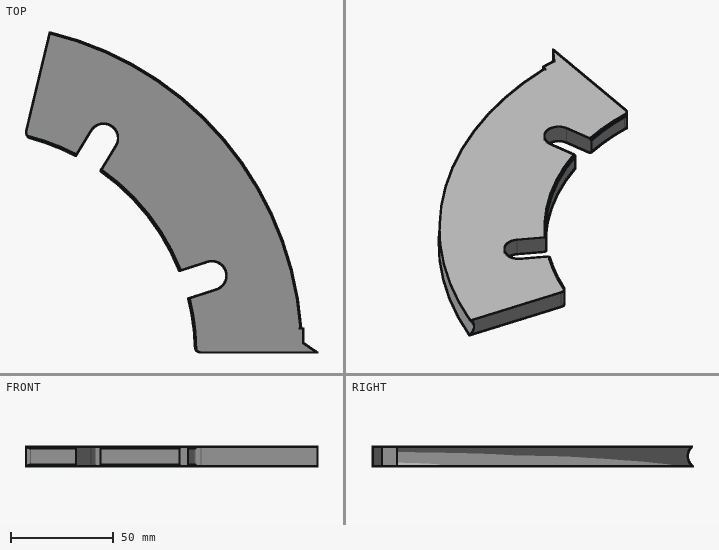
import cadquery as cq
import math

thickness = 9.5
height_y = 155.5
sector_angle = 76.5
outer_radius = height_y / math.sin(math.radians(sector_angle))
inner_radius = 107.8
corner_radius = 3.1
inner_chamfer = 0.8

top_edge_inset = 0.5
groove_depth = 2.5

tip_x = 167.4
tab_x = 160.5
tab_length = 11.8
tip_length = 4.7

slot_width = 14.0
slot_end_radius = 122.0
slot_spacing = 40.8
slot_angles = [sector_angle / 2 + side * slot_spacing / 2 for side in (-1, 1)]


def make_sector():
    """Revolve the radial section, with its inner chamfers and outer groove, about Z."""
    section = (
        cq.Workplane("XZ")
        .moveTo(inner_radius + inner_chamfer, 0)
        .lineTo(outer_radius, 0)
        .threePointArc(
            (outer_radius - groove_depth, thickness / 2),
            (outer_radius - top_edge_inset, thickness),
        )
        .lineTo(inner_radius + inner_chamfer, thickness)
        .lineTo(inner_radius, thickness - inner_chamfer)
        .lineTo(inner_radius, inner_chamfer)
        .close()
    )
    return section.revolve(sector_angle, (0, 0), (0, 1))


def polar_point(radius, angle):
    """Point at the given radius and angle (degrees) from the X axis."""
    return (radius * math.cos(math.radians(angle)), radius * math.sin(math.radians(angle)))


def make_corner_envelope():
    """Oversized sector whose two inner corners carry the vertical rounding."""
    reach = 2 * outer_radius
    middle_angle = sector_angle / 2
    envelope = (
        cq.Workplane("XY")
        .moveTo(inner_radius, 0)
        .lineTo(reach, 0)
        .threePointArc(polar_point(reach, middle_angle), polar_point(reach, sector_angle))
        .lineTo(*polar_point(inner_radius, sector_angle))
        .threePointArc(polar_point(inner_radius, middle_angle), (inner_radius, 0))
        .close()
        .extrude(thickness)
    )
    inner_corners = (
        envelope.edges("|Z")
        .filter(lambda edge: math.hypot(edge.Center().x, edge.Center().y) < outer_radius)
    )
    return inner_corners.fillet(corner_radius)


def make_tab():
    """Full-height tab that closes the groove and ends in a sloping point."""
    root_x = outer_radius - 2 * groove_depth
    outline = [(root_x, 0), (tip_x, 0), (tab_x, tip_length), (tab_x, tab_length), (root_x, tab_length)]
    return cq.Workplane("XY").polyline(outline).close().extrude(thickness)


def make_slot(angle):
    """Round-ended slot cutter pointing outwards at the given angle."""
    channel = cq.Workplane("XY").rect(slot_end_radius, slot_width).extrude(thickness)
    channel = channel.translate((slot_end_radius / 2, 0, 0))
    round_end = cq.Workplane("XY").center(slot_end_radius, 0).circle(slot_width / 2).extrude(thickness)
    return channel.union(round_end).rotate((0, 0, 0), (0, 0, 1), angle)


result = make_sector().intersect(make_corner_envelope()).union(make_tab())
for slot_angle in slot_angles:
    result = result.cut(make_slot(slot_angle))